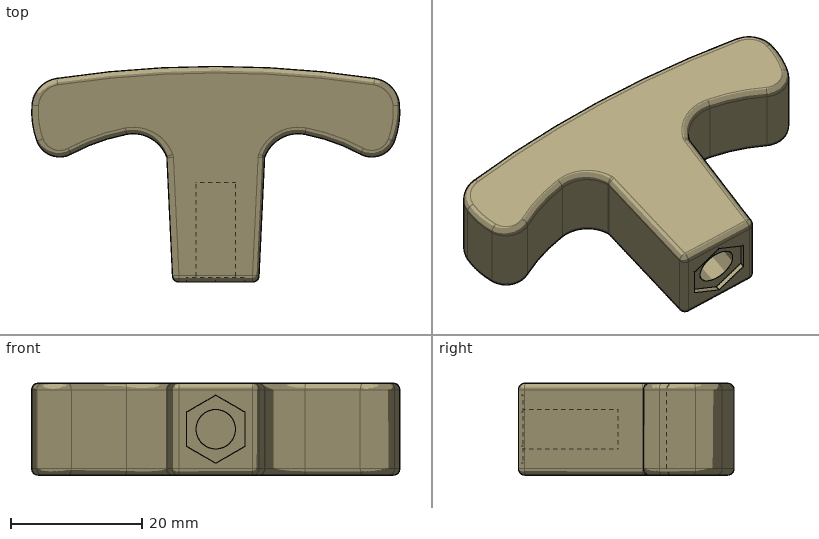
import cadquery as cq
import math

length = 56.05
depth = 32.85
thickness = 14.0

crown_radius = 161.45
crown_corner_x = 27.2
end_bulge_y = 26.05
tip_corner = (25.0, 17.6)
finger_middle = (17.25, 21.5)
finger_finish = (13.55, 22.5)

stem_top = (7.45, 19.0)
stem_foot = (6.55, 0)

shoulder_radius = 4.5
tip_radius = 3.7
neck_blend_radius = 0.55
edge_radius = 1.0

hex_across_flats = 8.95
hex_depth = 0.75
bore_diameter = 6.0
bore_depth = 15.15


def crown_point(x):
    """Point of the crown arc, whose centre lies on the Y axis."""
    return (x, depth - crown_radius + math.sqrt(crown_radius**2 - x**2))


def round_corner(body, corner, radius):
    """Round the vertical edge that passes through an outline corner."""
    nearest = cq.selectors.NearestToPointSelector((*corner, 0))
    return body.edges("|Z").edges(nearest).fillet(radius)


def make_half():
    """Half of the T-shaped plate, on the +X side of its symmetry plane."""
    crown_corner = crown_point(crown_corner_x)
    half = (
        cq.Workplane("XY")
        .workplane(offset=-thickness / 2)
        .moveTo(0, depth)
        .threePointArc(crown_point(crown_corner_x / 2), crown_corner)
        .threePointArc((length / 2, end_bulge_y), tip_corner)
        .threePointArc(finger_middle, finger_finish)
        .tangentArcPoint(stem_top, relative=False)
        .lineTo(*stem_foot)
        .lineTo(0, 0)
        .close()
        .extrude(thickness)
    )
    half = round_corner(half, crown_corner, shoulder_radius)
    half = round_corner(half, tip_corner, tip_radius)
    half = round_corner(half, stem_top, neck_blend_radius)
    return round_corner(half, stem_foot, edge_radius)


def make_handle():
    """Both halves joined, with the rims of the two flat faces rounded."""
    half = make_half()
    handle = half.union(half.mirror("YZ")).clean()
    return handle.faces("<Z or >Z").edges().fillet(edge_radius)


def make_recess():
    """Hexagonal nut recess with two of its flats parallel to Z."""
    across_corners = hex_across_flats / math.cos(math.pi / 6)
    return cq.Workplane("XZ").transformed(rotate=(0, 0, 30)).polygon(6, across_corners).extrude(-hex_depth)


def make_bore():
    """Blind bore running up the stem from its foot."""
    return cq.Workplane("XZ").circle(bore_diameter / 2).extrude(-bore_depth)


result = make_handle().cut(make_recess()).cut(make_bore())